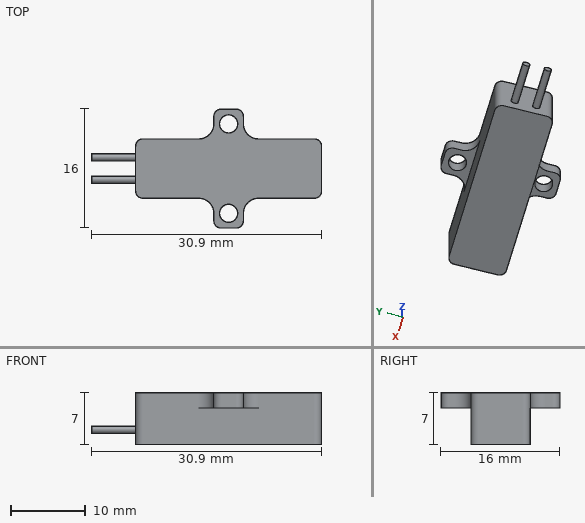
import cadquery as cq

body_length = 25.0
body_width = 8.0
body_height = 7.0
body_corner_radius = 1.0

ear_span = 16.0
ear_width = 4.0
ear_thickness = 2.1
ear_corner_radius = 1.0
ear_root_radius = 2.0
hole_diameter = 2.4
hole_spacing = 12.0

wire_diameter = 1.0
wire_length = 5.9
wire_spacing = 3.0
wire_height = 2.0


def make_body():
    """Block with rounded vertical edges."""
    block = cq.Workplane("XY").box(body_length, body_width, body_height, centered=(True, True, False))
    return block.edges("|Z").fillet(body_corner_radius)


def make_ear():
    """The +Y ear: rounded at its tip, flaring through concave arcs into the body side."""
    half_width = ear_width / 2
    root_half_width = half_width + ear_root_radius
    tip_half_width = half_width - ear_corner_radius
    side_y = body_width / 2
    flare_end_y = side_y + ear_root_radius
    tip_y = ear_span / 2
    corner_start_y = tip_y - ear_corner_radius

    return (
        cq.Workplane("XY", origin=(0, 0, body_height - ear_thickness))
        .moveTo(-root_half_width, 0)
        .lineTo(-root_half_width, side_y)
        .radiusArc((-half_width, flare_end_y), -ear_root_radius)
        .lineTo(-half_width, corner_start_y)
        .radiusArc((-tip_half_width, tip_y), ear_corner_radius)
        .lineTo(tip_half_width, tip_y)
        .radiusArc((half_width, corner_start_y), ear_corner_radius)
        .lineTo(half_width, flare_end_y)
        .radiusArc((root_half_width, side_y), -ear_root_radius)
        .lineTo(root_half_width, 0)
        .close()
        .extrude(ear_thickness)
    )


def make_mounting_holes():
    """Cutters for the through hole in each ear."""
    return (
        cq.Workplane("XY")
        .pushPoints([(0, -hole_spacing / 2), (0, hole_spacing / 2)])
        .circle(hole_diameter / 2)
        .extrude(body_height)
    )


def make_wires():
    """Two parallel round wires, running in -X from the end face of the body."""
    return (
        cq.Workplane("YZ", origin=(-body_length / 2, 0, wire_height))
        .pushPoints([(-wire_spacing / 2, 0), (wire_spacing / 2, 0)])
        .circle(wire_diameter / 2)
        .extrude(-wire_length)
    )


ear = make_ear()
result = (
    make_body()
    .union(ear)
    .union(ear.mirror("XZ"))
    .cut(make_mounting_holes())
    .union(make_wires())
    .clean()
)